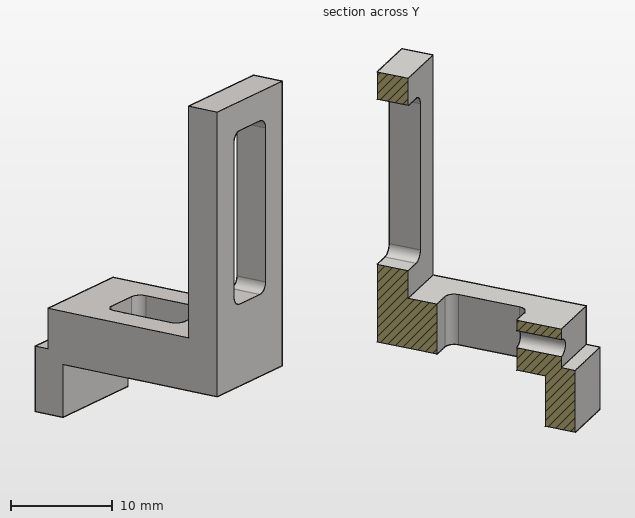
import cadquery as cq

length = 21.5
width = 11.6
height = 35.0

wall_thickness = 3.4
lip_thickness = 3.3
lip_step = 1.5
lip_top = 6.8
base_bottom = 5.5
base_top = 11.0

window_width = 5.6
window_radius = 1.0
base_window_start = 6.37
base_window_length = 8.6
wall_window_length = 18.0
wall_window_top_margin = 3.0

hole_diameter = 1.82
hole_height = (lip_top + base_top) / 2

wall_front = length - wall_thickness
base_thickness = base_top - base_bottom


def make_bracket():
    """Stepped profile extruded across the width, centred on Y = 0."""
    outline = [
        (0, 0),
        (lip_thickness, 0),
        (lip_thickness, base_bottom),
        (length, base_bottom),
        (length, height),
        (wall_front, height),
        (wall_front, base_top),
        (lip_step, base_top),
        (lip_step, lip_top),
        (0, lip_top),
    ]
    return cq.Workplane("XZ").polyline(outline).close().extrude(width / 2, both=True)


def make_base_window():
    """Vertical rounded opening through the base."""
    centre_x = base_window_start + base_window_length / 2
    return (
        cq.Workplane("XY", origin=(centre_x, 0, base_bottom))
        .rect(base_window_length, window_width)
        .extrude(base_thickness)
        .edges("|Z")
        .fillet(window_radius)
    )


def make_wall_window():
    """Rounded opening through the upright wall, along X."""
    centre_z = height - wall_window_top_margin - wall_window_length / 2
    return (
        cq.Workplane("YZ", origin=(wall_front, 0, centre_z))
        .rect(window_width, wall_window_length)
        .extrude(wall_thickness)
        .edges("|X")
        .fillet(window_radius)
    )


def make_screw_hole():
    """Hole along X from the base front face to the base window."""
    hole_depth = base_window_start - lip_step
    return (
        cq.Workplane("YZ", origin=(lip_step, 0, hole_height))
        .circle(hole_diameter / 2)
        .extrude(hole_depth)
    )


result = make_bracket().cut(make_base_window()).cut(make_wall_window()).cut(make_screw_hole())